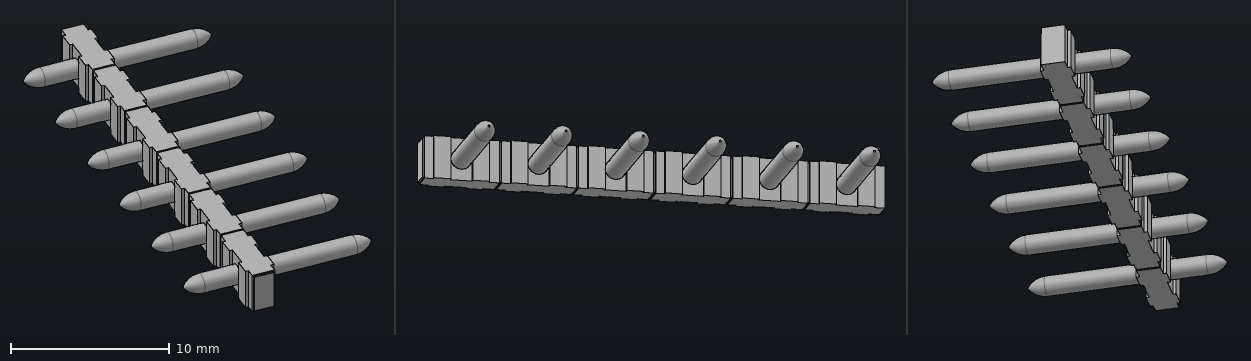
import cadquery as cq
import math

pin_count = 6
total_length = 30.0
pitch = total_length / pin_count

housing_height = 2.8
core_depth = 1.55
pad_projection = 0.2
pad_span = 3.6
channel_width = 1.4

web_length = 0.12
web_inset = 0.1

pin_diameter = 1.32
pin_rear = 8.5
pin_front = 4.5
tip_length = 1.23
tip_flat_radius = 0.05

block_length = pitch - web_length
pad_width = (pad_span - channel_width) / 2
pad_offset = (channel_width + pad_width) / 2
pad_depth = core_depth + 2 * pad_projection
pin_radius = pin_diameter / 2

block_shift = -web_length / 2
pin_places = [(i - (pin_count - 1) / 2) * pitch for i in range(pin_count)]


def make_block(pin_x):
    """One housing cell around a pin: a block with two pads on each Y face and a link on its +X end."""
    block = (
        cq.Workplane("XY")
        .box(block_length, core_depth, housing_height)
        .translate((block_shift, 0, 0))
    )
    pads = (
        cq.Workplane("XY")
        .pushPoints([(-pad_offset, 0), (pad_offset, 0)])
        .box(pad_width, pad_depth, housing_height)
    )
    web = (
        cq.Workplane("XY")
        .box(web_length, core_depth - 2 * web_inset, housing_height - 2 * web_inset)
        .translate(((pitch - web_length) / 2, 0, 0))
    )
    return block.union(pads).union(web).translate((pin_x, 0, 0))


def make_pin(pin_x):
    """Round pin along Y whose rounded tips are arcs tangent to the shaft."""
    tip_drop = pin_radius - tip_flat_radius
    arc_radius = (tip_length**2 + tip_drop**2) / (2 * tip_drop)
    half_angle = math.asin(tip_length / arc_radius) / 2
    mid_radius = pin_radius - arc_radius * (1 - math.cos(half_angle))
    mid_reach = arc_radius * math.sin(half_angle)

    rear_shoulder = pin_rear - tip_length
    front_shoulder = -pin_front + tip_length
    half_profile = (
        cq.Workplane("YZ")
        .moveTo(-pin_front, 0)
        .lineTo(-pin_front, tip_flat_radius)
        .threePointArc((front_shoulder - mid_reach, mid_radius), (front_shoulder, pin_radius))
        .lineTo(rear_shoulder, pin_radius)
        .threePointArc((rear_shoulder + mid_reach, mid_radius), (pin_rear, tip_flat_radius))
        .lineTo(pin_rear, 0)
        .close()
    )
    return half_profile.revolve(360, (0, 0, 0), (1, 0, 0)).translate((pin_x, 0, 0))


def make_housing():
    """Row of linked cells, with a through hole for every pin."""
    housing = make_block(pin_places[0])
    for pin_x in pin_places[1:]:
        housing = housing.union(make_block(pin_x))
    for pin_x in pin_places:
        hole = (
            cq.Workplane("XZ")
            .center(pin_x, 0)
            .circle(pin_radius)
            .extrude(pad_depth / 2, both=True)
        )
        housing = housing.cut(hole)
    return housing


housing = make_housing()
pins = [make_pin(pin_x) for pin_x in pin_places]

result = cq.Compound.makeCompound([housing.val(), *[pin.val() for pin in pins]])